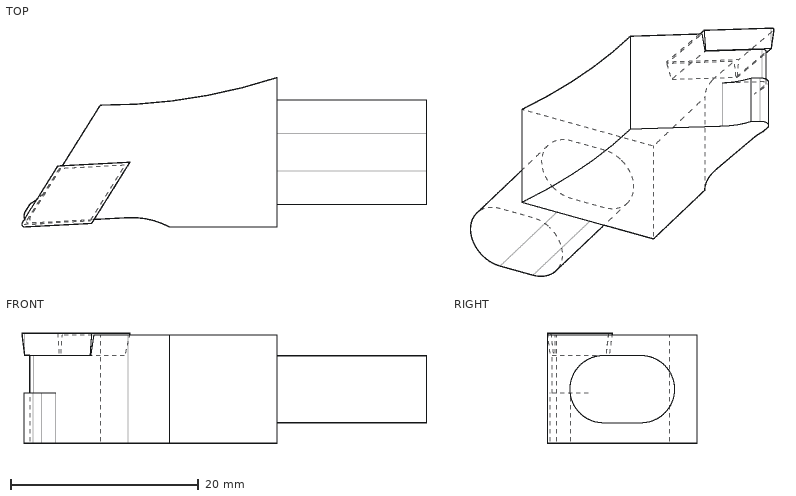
import cadquery as cq
import math


HEAD_WIDTH = 16.0
HEAD_HEIGHT = 11.6
TIP_REACH = 27.31
HEAD_NOSE_RADIUS = 0.4
FRONT_SETBACK = 0.41
LEFT_SETBACK = 0.41
SHOULDER_Y = 5.05
BACK_CURVE_RADIUS = 60.0
RELIEF_RADIUS = 8.5
RELIEF_START_X = -15.96

SHANK_LENGTH = 16.0
SHANK_THICKNESS = 7.2
SHANK_FLAT_WIDTH = 4.0

INSERT_SIDE = 7.75
INSERT_THICKNESS = 2.38
INSERT_NOSE_RADIUS = 0.3
INSERT_PROUD = 0.2
CLEARANCE_ANGLE = 7.0
FRONT_ANGLE = 3.0
LEFT_ANGLE = 58.0

FOOT_HEIGHT = 5.4
FOOT_NOSE_RADIUS = 0.9
FOOT_FRONT_OFFSET = 0.17
FOOT_LEFT_OFFSET = 0.77
FOOT_FLAT_LENGTH = 0.95
FOOT_BLEND_RADIUS = 6.5

HALF_WIDTH = HEAD_WIDTH / 2
HEAD_TOP = HEAD_HEIGHT / 2
HEAD_BOTTOM = -HEAD_TOP


def direction(angle):
    return cq.Vector(math.cos(math.radians(angle)), math.sin(math.radians(angle)))


ALONG_FRONT = direction(FRONT_ANGLE)
ALONG_LEFT = direction(LEFT_ANGLE)
OUT_OF_FRONT = direction(FRONT_ANGLE - 90)
OUT_OF_LEFT = direction(LEFT_ANGLE + 90)
OUT_OF_TIP = direction((FRONT_ANGLE + LEFT_ANGLE) / 2 + 180)
CORNER_SINE = math.sin(math.radians(LEFT_ANGLE - FRONT_ANGLE))

INSERT_NOSE_CENTRE = cq.Vector(-TIP_REACH + INSERT_NOSE_RADIUS, -HALF_WIDTH + INSERT_NOSE_RADIUS)


def inset_corner(front_inset, left_inset):
    """Corner of two walls lying this far behind lines through the insert's nose centre."""
    return (
        INSERT_NOSE_CENTRE
        + ALONG_FRONT * (left_inset / CORNER_SINE)
        + ALONG_LEFT * (front_inset / CORNER_SINE)
    )


FRONT_WALL_INSET = FRONT_SETBACK - INSERT_NOSE_RADIUS
LEFT_WALL_INSET = LEFT_SETBACK - INSERT_NOSE_RADIUS
HEAD_CORNER = inset_corner(FRONT_WALL_INSET, LEFT_WALL_INSET)


def xy(point):
    return (point.x, point.y)


def arc_by_radius(start, end, radius):
    """Middle point of the arc from start to end that bulges to the right of the travel."""
    chord = end - start
    half = chord.Length / 2
    sagitta = radius - math.sqrt(radius**2 - half**2)
    right = cq.Vector(chord.y, -chord.x).normalized()
    return (start + end) * 0.5 + right * sagitta


def make_insert():
    tip = inset_corner(-INSERT_NOSE_RADIUS, -INSERT_NOSE_RADIUS)
    right_corner = tip + ALONG_FRONT * INSERT_SIDE
    left_corner = tip + ALONG_LEFT * INSERT_SIDE
    far_corner = right_corner + ALONG_LEFT * INSERT_SIDE
    nose = INSERT_NOSE_CENTRE
    return (
        cq.Workplane("XY", origin=(0, 0, HEAD_TOP + INSERT_PROUD))
        .moveTo(*xy(nose + OUT_OF_FRONT * INSERT_NOSE_RADIUS))
        .lineTo(*xy(right_corner))
        .lineTo(*xy(far_corner))
        .lineTo(*xy(left_corner))
        .lineTo(*xy(nose + OUT_OF_LEFT * INSERT_NOSE_RADIUS))
        .threePointArc(
            xy(nose + OUT_OF_TIP * INSERT_NOSE_RADIUS),
            xy(nose + OUT_OF_FRONT * INSERT_NOSE_RADIUS),
        )
        .close()
        .extrude(-INSERT_THICKNESS, taper=CLEARANCE_ANGLE)
    )


def make_head_block():
    nose = inset_corner(FRONT_WALL_INSET + HEAD_NOSE_RADIUS, LEFT_WALL_INSET + HEAD_NOSE_RADIUS)
    front_length = (RELIEF_START_X - HEAD_CORNER.x) / ALONG_FRONT.x
    relief_start = HEAD_CORNER + ALONG_FRONT * front_length
    relief_centre = relief_start + OUT_OF_FRONT * RELIEF_RADIUS
    relief_end_angle = math.degrees(math.asin((-HALF_WIDTH - relief_centre.y) / RELIEF_RADIUS))
    relief_middle_angle = (relief_end_angle + FRONT_ANGLE + 90) / 2
    relief_end = relief_centre + direction(relief_end_angle) * RELIEF_RADIUS
    relief_middle = relief_centre + direction(relief_middle_angle) * RELIEF_RADIUS
    back_corner = cq.Vector(0, HALF_WIDTH)
    left_length = (SHOULDER_Y - HEAD_CORNER.y) / ALONG_LEFT.y
    shoulder = HEAD_CORNER + ALONG_LEFT * left_length
    back_middle = arc_by_radius(shoulder, back_corner, BACK_CURVE_RADIUS)
    return (
        cq.Workplane("XY", origin=(0, 0, HEAD_BOTTOM))
        .moveTo(*xy(nose + OUT_OF_FRONT * HEAD_NOSE_RADIUS))
        .lineTo(*xy(relief_start))
        .threePointArc(xy(relief_middle), xy(relief_end))
        .lineTo(0, -HALF_WIDTH)
        .lineTo(*xy(back_corner))
        .threePointArc(xy(back_middle), xy(shoulder))
        .lineTo(*xy(nose + OUT_OF_LEFT * HEAD_NOSE_RADIUS))
        .threePointArc(
            xy(nose + OUT_OF_TIP * HEAD_NOSE_RADIUS),
            xy(nose + OUT_OF_FRONT * HEAD_NOSE_RADIUS),
        )
        .close()
        .extrude(HEAD_HEIGHT)
    )


def blend_end(flat_end, along, outward, offset):
    """Point where the concave blend from the end of a foot flat touches the head wall."""
    reach = math.sqrt(FOOT_BLEND_RADIUS**2 - (FOOT_BLEND_RADIUS - offset) ** 2)
    return flat_end + along * reach - outward * offset


def make_foot():
    nose = inset_corner(
        FRONT_WALL_INSET + FOOT_NOSE_RADIUS - FOOT_FRONT_OFFSET,
        LEFT_WALL_INSET + FOOT_NOSE_RADIUS - FOOT_LEFT_OFFSET,
    )
    front_tangent = nose + OUT_OF_FRONT * FOOT_NOSE_RADIUS
    left_tangent = nose + OUT_OF_LEFT * FOOT_NOSE_RADIUS
    front_flat_end = front_tangent + ALONG_FRONT * FOOT_FLAT_LENGTH
    left_flat_end = left_tangent + ALONG_LEFT * FOOT_FLAT_LENGTH
    front_end = blend_end(front_flat_end, ALONG_FRONT, OUT_OF_FRONT, FOOT_FRONT_OFFSET)
    left_end = blend_end(left_flat_end, ALONG_LEFT, OUT_OF_LEFT, FOOT_LEFT_OFFSET)
    front_middle = arc_by_radius(front_end, front_flat_end, FOOT_BLEND_RADIUS)
    left_middle = arc_by_radius(left_flat_end, left_end, FOOT_BLEND_RADIUS)
    return (
        cq.Workplane("XY", origin=(0, 0, HEAD_BOTTOM))
        .moveTo(*xy(front_tangent))
        .lineTo(*xy(front_flat_end))
        .threePointArc(xy(front_middle), xy(front_end))
        .lineTo(*xy(left_end))
        .threePointArc(xy(left_middle), xy(left_flat_end))
        .lineTo(*xy(left_tangent))
        .threePointArc(xy(nose + OUT_OF_TIP * FOOT_NOSE_RADIUS), xy(front_tangent))
        .close()
        .extrude(FOOT_HEIGHT)
    )


def make_shank():
    overall_width = SHANK_FLAT_WIDTH + SHANK_THICKNESS
    return cq.Workplane("YZ").slot2D(overall_width, SHANK_THICKNESS).extrude(SHANK_LENGTH)


insert = make_insert()
shank = make_shank()
head = make_head_block().union(make_foot()).cut(insert)

result = cq.Compound.makeCompound([head.solids().val(), shank.val(), insert.val()])